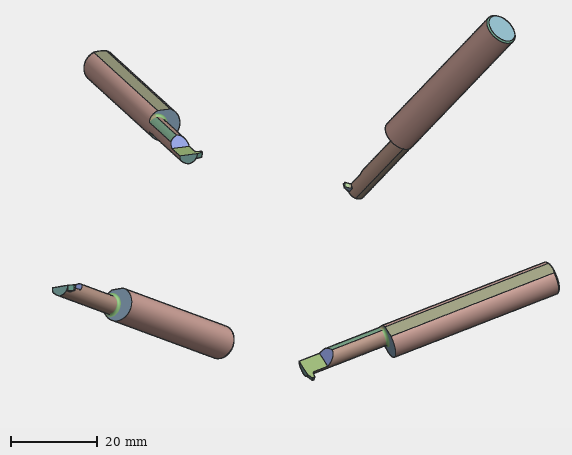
import cadquery as cq

total_length = 63.5
shank_length = 42.5
shank_diameter = 7.95
height_over_flat = 7.6
end_chamfer = 0.4

neck_diameter = 4.5
neck_center_y = -1.9
root_fillet = 0.65

flank_center_y = -0.95
flank_center_offset = 1.6

tip_start = 58.2
tip_face_z = 0.0

tooth_tip_y = 1.85
tooth_base_start = 62.05
tooth_tip_start = 62.3
tooth_tip_end = 63.0
tooth_thickness = 1.3
tooth_relief_angle = 8.0
tooth_root_fillet = 0.25

shank_radius = shank_diameter / 2
neck_radius = neck_diameter / 2
neck_side_y = neck_center_y + neck_radius


def make_shank():
    """Chamfered cylinder with one flat along the top."""
    shank = cq.Workplane("YZ").circle(shank_radius).extrude(shank_length)
    shank = shank.faces("<X").chamfer(end_chamfer)
    flat_z = height_over_flat - shank_radius
    above_flat = cq.Workplane("XY").workplane(offset=flat_z).rect(
        2 * shank_length, 2 * shank_diameter).extrude(shank_diameter)
    return shank.cut(above_flat)


def make_flared_cylinder(radius, center_y, center_z):
    """Cylinder along X with a concave flare where it leaves the shank."""
    root_start = shank_length - root_fillet
    flare_radius = radius + root_fillet
    return (
        cq.Workplane("XY", origin=(0, center_y, center_z))
        .moveTo(root_start, 0)
        .lineTo(root_start, flare_radius)
        .lineTo(shank_length, flare_radius)
        .radiusArc((shank_length + root_fillet, radius), -root_fillet)
        .lineTo(total_length, radius)
        .lineTo(total_length, 0)
        .close()
        .revolve(360, (0, 0, 0), (1, 0, 0))
    )


def make_neck():
    """Neck cylinder trimmed by two shallow flanks and the shank cylinder."""
    neck = make_flared_cylinder(neck_radius, neck_center_y, 0)
    for side in (1, -1):
        flank = make_flared_cylinder(shank_radius, flank_center_y, -side * flank_center_offset)
        neck = neck.intersect(flank)
    envelope = cq.Workplane("YZ").circle(shank_radius).extrude(total_length)
    return neck.intersect(envelope)


def make_tip_relief():
    """Material above the tip face and its ramp."""
    ramp_height = shank_diameter
    return (
        cq.Workplane("XZ")
        .moveTo(tip_start, tip_face_z)
        .lineTo(total_length, tip_face_z)
        .lineTo(total_length, tip_face_z + ramp_height)
        .lineTo(tip_start - ramp_height, tip_face_z + ramp_height)
        .close()
        .extrude(shank_diameter, both=True)
    )


def make_tooth():
    """Tooth with relieved sides, rooted at the neck axis and flush with the tip face."""
    return (
        cq.Workplane("XY", origin=(0, 0, tip_face_z))
        .moveTo(tooth_base_start - tooth_root_fillet, neck_center_y)
        .lineTo(tooth_base_start - tooth_root_fillet, neck_side_y)
        .radiusArc((tooth_base_start, neck_side_y + tooth_root_fillet), -tooth_root_fillet)
        .lineTo(tooth_tip_start, tooth_tip_y)
        .lineTo(tooth_tip_end, tooth_tip_y)
        .lineTo(total_length, neck_side_y)
        .lineTo(total_length, neck_center_y)
        .close()
        .extrude(-tooth_thickness, taper=tooth_relief_angle)
    )


result = make_shank().union(make_neck()).cut(make_tip_relief()).union(make_tooth())